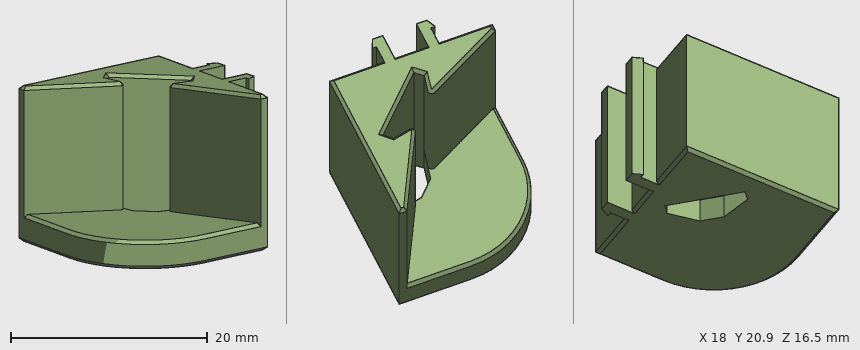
import cadquery as cq

side = 18.0
height = 16.5
depth = 20.9
floor_thickness = 3.0
floor_radius = 10.0
chamfer = 0.35
wall_end = 0.85
tip_radius = 0.4

clip_center = 9.0
clip_gap = 3.72
clip_thickness = 1.15
barb_length = 1.05
barb_reach = 0.48

end_point = (side, wall_end)
tip_point = (8.55, 5.91)
opening_side = (9.13, 3.15)
opening_back = (8.31, 2.38)
opening_front = (8.38, 6.58)


def plan(point):
    """Turn distances from the left and back faces into X, Y (front left corner at the origin)."""
    return (point[0], side - point[1])


def symmetric_outline(half):
    """Plan points of a half outline followed by its mirror image across the diagonal."""
    mirrored = [(back, left) for left, back in reversed(half)]
    return [plan(point) for point in half + mirrored]


def make_floor():
    slab = (
        cq.Workplane("XY")
        .rect(side, side)
        .extrude(floor_thickness)
        .translate((side / 2, side / 2, 0))
        .edges("|Z and >X and <Y")
        .fillet(floor_radius)
        .faces(">Z")
        .chamfer(chamfer)
    )
    opening = (
        cq.Workplane("XY")
        .polyline(symmetric_outline([opening_back, opening_side, opening_front]))
        .close()
        .extrude(floor_thickness)
    )
    return slab.cut(opening)


def make_wall():
    half = [(side, 0), end_point, tip_point, opening_side, opening_back]
    outline = symmetric_outline(half) + [plan((0, 0))]
    wall = cq.Workplane("XY").polyline(outline).close().extrude(height)
    for tip in (plan(tip_point), plan(tip_point[::-1])):
        wall = wall.edges(cq.selectors.NearestToPointSelector((*tip, height / 2))).fillet(tip_radius)
    return wall.faces(">Z").chamfer(chamfer)


def chamfer_bottom(body):
    """Bevel the outer rim of the underside and leave the opening sharp."""
    rim = body.faces("<Z").val().outerWire().Edges()
    return body.newObject(rim).chamfer(chamfer)


def make_clip(direction):
    """Barbed clip whose barb points outward; direction is -1 (left) or +1 (right)."""
    inner = clip_center + direction * clip_gap / 2
    outer = inner + direction * clip_thickness
    barb = outer + direction * barb_reach
    root = side - chamfer
    barb_base = depth - barb_length
    return (
        cq.Workplane("XY")
        .polyline([
            (inner, root),
            (inner, depth),
            (outer, depth),
            (barb, barb_base),
            (outer, barb_base),
            (outer, root),
        ])
        .close()
        .extrude(height)
    )


body = chamfer_bottom(make_floor().union(make_wall()).clean())
for direction in (-1, 1):
    body = body.union(make_clip(direction))
result = body